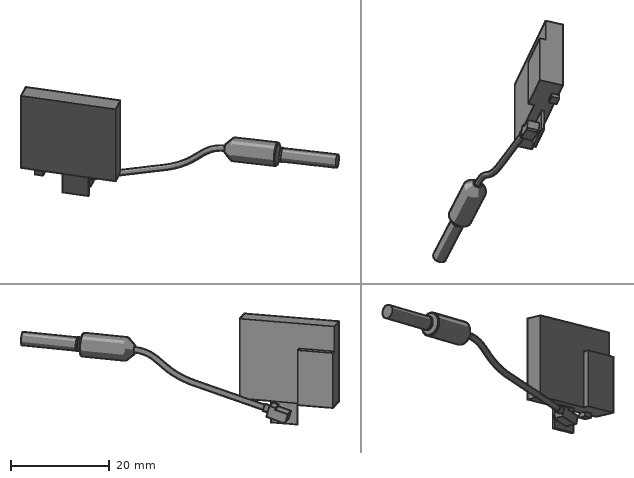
import cadquery as cq
import math

BLOCK_WIDTH = 20.0
BLOCK_DEPTH = 3.75
BLOCK_HEIGHT = 17.0
PAD_WIDTH = 7.4
PAD_THICKNESS = 1.25
PAD_HEIGHT = 11.7
BLADE_X = 8.4
BLADE_WIDTH = 5.5
BLADE_Y = 1.25
BLADE_THICKNESS = 0.6
BLADE_DROP = 5.2
NUB_X = 2.95
NUB_WIDTH = 1.8
NUB_PROUD = 0.2
NUB_DEPTH = 1.65
NUB_DROP = 1.0

CABLE_DIAMETER = 1.2
CABLE_START = cq.Vector(14.8, 3.6, -1.5)
CABLE_BEND = cq.Vector(29.35, 3.9, 2.55)
CABLE_MIDDLE = cq.Vector(35.3, 4.2, 5.5)
CABLE_END = cq.Vector(41.9, 4.4, 8.8)
CABLE_RUN = CABLE_BEND - CABLE_START
CABLE_PITCH = math.degrees(math.atan2(CABLE_RUN.z, CABLE_RUN.x))

PLUG_Y = BLADE_Y + BLADE_THICKNESS
PLUG_DEPTH = 2.5
PLUG_BACK = 5.2
PLUG_TOP = 0.6
PLUG_BOTTOM = 1.5
PLUG_CHAMFER = 0.3
COLLAR_BACK = 2.35
COLLAR_FRONT = 1.05
COLLAR_TOP = 1.0
SLEEVE_DIAMETER = 1.6

AXIS = cq.Vector(1, 0.014, 0.023).normalized()
FERRULE_DIAMETER = 4.9
FERRULE_MOUTH_DIAMETER = 1.85
FERRULE_CONE_LENGTH = 1.65
FERRULE_SHOULDER_RADIUS = 0.5
FERRULE_LENGTH = 11.0
FERRULE_EDGE = 0.2
PIN_DIAMETER = 2.8
PIN_RIM_DIAMETER = 2.95
PIN_RIM_LENGTH = 0.4
PIN_START = 11.65
OVERALL_LENGTH = 65.5
PIN_TIP_OVERHANG = PIN_DIAMETER / 2 * math.sqrt(1 - AXIS.x ** 2)
PIN_LENGTH = (OVERALL_LENGTH - PIN_TIP_OVERHANG - CABLE_END.x) / AXIS.x - PIN_START


def box(x, y, z, width, depth, height):
    """Box placed by its lowest corner."""
    return cq.Workplane("XY").box(width, depth, height, centered=False).translate((x, y, z))


def make_housing():
    block = box(0, 0, 0, BLOCK_WIDTH, BLOCK_DEPTH, BLOCK_HEIGHT)
    pad = box(0, BLOCK_DEPTH, 0, PAD_WIDTH, PAD_THICKNESS, PAD_HEIGHT)
    blade = box(BLADE_X, BLADE_Y, -BLADE_DROP, BLADE_WIDTH, BLADE_THICKNESS, BLADE_DROP)
    nub = box(NUB_X, -NUB_PROUD, -NUB_DROP, NUB_WIDTH, NUB_DEPTH, NUB_DROP)
    return block.union(pad).union(blade).union(nub)


def make_plug():
    """Stepped plug, drawn level with its cable exit at the origin, then pitched with the cable."""
    profile = (
        cq.Workplane("XZ")
        .moveTo(-PLUG_BACK, PLUG_TOP)
        .lineTo(-COLLAR_BACK, PLUG_TOP)
        .lineTo(-COLLAR_BACK, COLLAR_TOP)
        .lineTo(-COLLAR_FRONT, COLLAR_TOP)
        .lineTo(-COLLAR_FRONT, -PLUG_BOTTOM)
        .lineTo(-PLUG_BACK + PLUG_CHAMFER, -PLUG_BOTTOM)
        .lineTo(-PLUG_BACK, -PLUG_BOTTOM + PLUG_CHAMFER)
        .close()
    )
    body = profile.extrude(-PLUG_DEPTH).translate((0, PLUG_Y - CABLE_START.y, 0))
    sleeve = (
        cq.Workplane("YZ", origin=(-COLLAR_FRONT, 0, 0))
        .circle(SLEEVE_DIAMETER / 2)
        .extrude(COLLAR_FRONT)
    )
    plug = body.union(sleeve)
    return plug.rotate((0, 0, 0), (0, 1, 0), -CABLE_PITCH).translate(CABLE_START.toTuple())


def make_cable():
    straight = cq.Edge.makeLine(CABLE_START, CABLE_BEND)
    bend = cq.Edge.makeSpline(
        [CABLE_BEND, CABLE_MIDDLE, CABLE_END],
        tangents=[CABLE_RUN.normalized(), AXIS],
    )
    path = cq.Wire.assembleEdges([straight, bend])
    start_plane = cq.Plane(origin=CABLE_START, normal=CABLE_RUN)
    return cq.Workplane(start_plane).circle(CABLE_DIAMETER / 2).sweep(cq.Workplane(path))


def make_ferrule():
    """Turned ferrule with a conical mouth around the cable's end."""
    radius = FERRULE_DIAMETER / 2
    sideways = cq.Vector(0, 0, 1).cross(AXIS)
    half_section = cq.Plane(origin=CABLE_END, xDir=AXIS, normal=sideways)
    turned = (
        cq.Workplane(half_section)
        .lineTo(0, FERRULE_MOUTH_DIAMETER / 2)
        .lineTo(FERRULE_CONE_LENGTH, radius)
        .lineTo(FERRULE_LENGTH - FERRULE_EDGE, radius)
        .lineTo(FERRULE_LENGTH, radius - FERRULE_EDGE)
        .lineTo(FERRULE_LENGTH, 0)
        .close()
        .revolve(360, (0, 0), (1, 0))
    )
    shoulder_point = CABLE_END + AXIS * FERRULE_CONE_LENGTH
    shoulder = cq.NearestToPointSelector(shoulder_point.toTuple())
    return turned.edges("%CIRCLE").edges(shoulder).fillet(FERRULE_SHOULDER_RADIUS)


def make_cable_assembly():
    return make_cable().union(make_plug()).union(make_ferrule())


def make_pin():
    """Straight pin with a slightly wider rim at the end facing the ferrule."""
    pin_plane = cq.Plane(origin=CABLE_END + AXIS * PIN_START, normal=AXIS)
    shank = cq.Workplane(pin_plane).circle(PIN_DIAMETER / 2).extrude(PIN_LENGTH)
    rim = cq.Workplane(pin_plane).circle(PIN_RIM_DIAMETER / 2).extrude(PIN_RIM_LENGTH)
    return shank.union(rim)


cable_assembly = make_cable_assembly()

housing = make_housing().cut(cable_assembly)
pin = make_pin()

bodies = [housing, cable_assembly, pin]
result = cq.Compound.makeCompound([body.solids().val() for body in bodies])